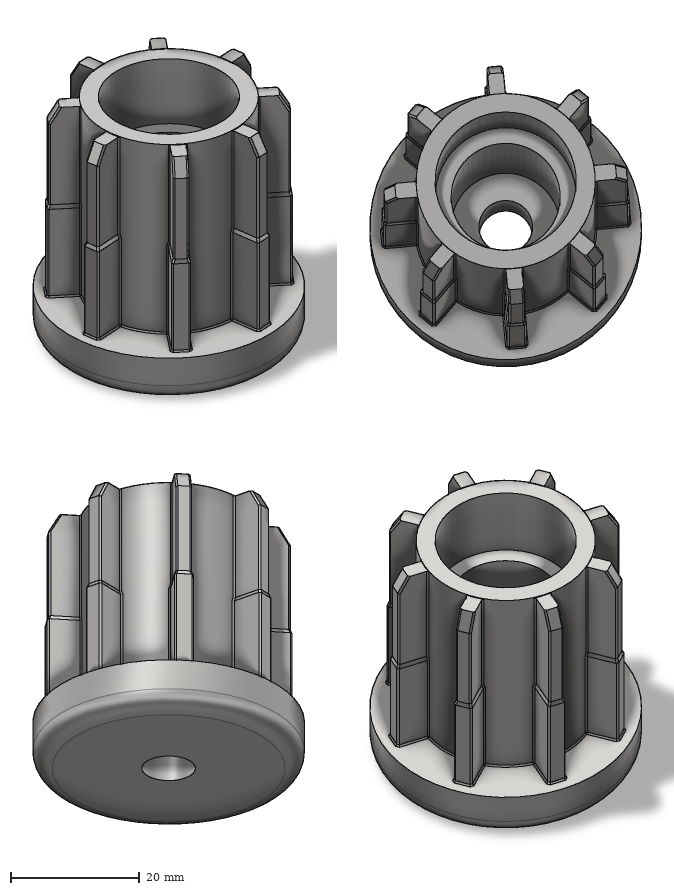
import cadquery as cq
import math

total_height = 43.0
flange_radius = 21.2
flange_height = 8.1
rim_radius = 3.0

tube_radius = 13.98
bore_radius = 11.0
bore_depth = 12.0
inner_bore_radius = 8.5
hole_radius = 4.15

rib_count = 8
rib_top = total_height - 0.15
rib_radius = 19.0
rib_half_width = 1.25
rib_step = 0.25
step_bottom = 24.3
step_top = 25.0
lead_in_depth = 1.7
lead_in_height = 3.0
corner_chamfer = 0.3
rib_inner_end = (bore_radius + tube_radius) / 2
foot_radius = rib_radius + rib_step
foot_half_width = rib_half_width + rib_step

root_chamfer = 0.25

position_slack = 0.05
shortest_seam = 0.45


def cylinder(radius, bottom, top):
    return cq.Workplane("XY").workplane(offset=bottom).circle(radius).extrude(top - bottom)


def make_flange():
    return cylinder(flange_radius, 0, flange_height).faces("<Z").edges().fillet(rim_radius)


def make_rib():
    """One rib along +X: radial outline crossed with the outline seen along its length."""
    radial_shape = (
        cq.Workplane("XZ")
        .moveTo(rib_inner_end, flange_height)
        .lineTo(foot_radius, flange_height)
        .lineTo(foot_radius, step_bottom)
        .lineTo(rib_radius, step_top)
        .lineTo(rib_radius, rib_top - lead_in_height)
        .lineTo(rib_radius - lead_in_depth, rib_top)
        .lineTo(rib_inner_end, rib_top)
        .close()
        .extrude(foot_half_width, both=True)
    )
    cross_shape = (
        cq.Workplane("YZ")
        .moveTo(0, flange_height)
        .lineTo(foot_half_width, flange_height)
        .lineTo(foot_half_width, step_bottom)
        .lineTo(rib_half_width, step_top)
        .lineTo(rib_half_width, rib_top)
        .lineTo(0, rib_top)
        .mirrorY()
        .extrude(flange_radius)
    )
    rib = radial_shape.intersect(cross_shape)

    outer_end = cq.selectors.BoxSelector(
        (rib_radius - lead_in_depth, -2 * foot_half_width, flange_height),
        (flange_radius, 2 * foot_half_width, rib_top),
    )
    corner_edges = rib.edges(outer_end).edges("not(#Z)").edges("not(|Y)")
    return corner_edges.chamfer(corner_chamfer)


def is_root_edge(edge):
    """True for the seams around the foot of the ribs and tube and along each rib side."""
    middle = edge.positionAt(0.5)
    axis_distance = math.hypot(middle.x, middle.y)
    box = edge.BoundingBox()
    at_flange = box.zmax < flange_height + position_slack and box.zmin > flange_height - position_slack
    around_foot = at_flange and axis_distance < foot_radius + position_slack
    on_tube = abs(axis_distance - tube_radius) < position_slack
    along_rib = on_tube and box.zlen > shortest_seam
    return around_foot or along_rib


def make_bore():
    wide_bore = cylinder(bore_radius, total_height - bore_depth, total_height)
    inner_bore = cylinder(inner_bore_radius, flange_height, total_height)
    hole = cylinder(hole_radius, 0, total_height)
    return wide_bore.union(inner_bore).union(hole)


body = make_flange().union(cylinder(tube_radius, flange_height, total_height))
rib = make_rib()
for index in range(rib_count):
    body = body.union(rib.rotate((0, 0, 0), (0, 0, 1), index * 360 / rib_count))

root_edges = [edge for edge in body.edges().vals() if is_root_edge(edge)]
body = body.newObject(root_edges).chamfer(root_chamfer)

result = body.cut(make_bore())